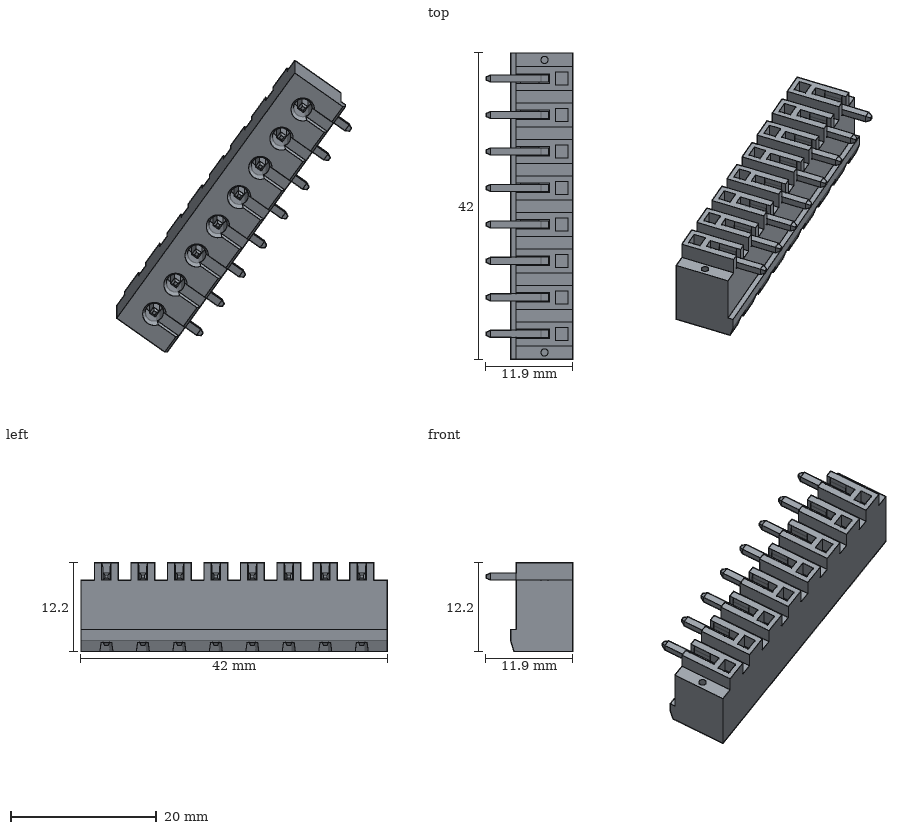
import cadquery as cq


way_count = 8
pitch = 5.0
length = 42.0
depth = 7.8
height = 12.2
deck_z = 9.8
first_way_y = (length - (way_count - 1) * pitch) / 2

foot_reach = 0.75
foot_top_z = 3.05
foot_bevel_z = 1.5
foot_bevel_reach = 0.45

block_width = 3.3

pocket_x_size = 1.7
pocket_y_size = 1.8
pocket_wall = 0.7
pocket_depth = height - deck_z

pin_size = 1.0
pin_reach = 4.1
pin_tip_size = 0.45
pin_tip_length = 0.6
pin_bend_radius = 1.05
pin_back_x = 4.45
pin_end_z = 0.82
pin_axis_x = pin_back_x - pin_size / 2
pin_axis_z = deck_z + pin_size / 2

slot_width = 1.3
slot_clearance = 0.1
slot_end_x = pin_back_x + slot_clearance

ridge_start_x = 0.6
ridge_end_x = 3.15
ridge_drop = 0.6
ridge_height = (slot_width - pin_size) / 2

socket_diameter = 2.5
socket_depth = 8.0
socket_mouth_diameter = 3.2
notch_height = 1.27
notch_bottom_width = 1.8
notch_top_width = 1.45

end_hole_diameter = 0.99
end_hole_depth = 2.0
end_hole_inset = 0.95


def box(x_start, x_end, y_center, y_size, z_start, z_end):
    """Box given by its X and Z limits and centred in Y."""
    return cq.Workplane("XY").box(
        x_end - x_start, y_size, z_end - z_start, centered=(False, True, False)
    ).translate((x_start, y_center, z_start))


def make_bar():
    """Housing up to the deck, with the bevelled foot rail."""
    return (
        cq.Workplane("XZ")
        .moveTo(foot_bevel_reach - foot_reach, 0)
        .lineTo(depth, 0)
        .lineTo(depth, deck_z)
        .lineTo(0, deck_z)
        .lineTo(0, foot_top_z)
        .lineTo(-foot_reach, foot_top_z)
        .lineTo(-foot_reach, foot_bevel_z)
        .close()
        .extrude(-length)
    )


def make_slot_ridges(y):
    """Ridges facing each other across the slot, each with a sloped lead-in at the top."""
    ridges = cq.Workplane("YZ")
    for side in (-1, 1):
        wall_y = y + side * slot_width / 2
        ridges = ridges.polyline([
            (wall_y, height),
            (wall_y - side * ridge_height, height - ridge_drop),
            (wall_y - side * ridge_height, deck_z),
            (wall_y, deck_z),
        ]).close()
    return ridges.extrude(ridge_end_x - ridge_start_x).translate((ridge_start_x, 0, 0))


def make_block(y):
    """Raised block with its pin slot, snap ridges and square pocket."""
    block = box(0, depth, y, block_width, deck_z, height)
    slot = box(0, slot_end_x, y, slot_width, deck_z, height)
    pocket_end_x = depth - pocket_wall
    pocket = box(
        pocket_end_x - pocket_x_size, pocket_end_x, y, pocket_y_size,
        height - pocket_depth, height,
    )
    return block.cut(slot).cut(pocket).union(make_slot_ridges(y))


def make_socket(y):
    """Round socket volume with a conical mouth and the tapered notch that opens it to the -X side."""
    bore = (
        cq.Workplane("XY")
        .center(pin_axis_x, y)
        .circle(socket_diameter / 2)
        .extrude(socket_depth)
    )
    notch = (
        cq.Workplane("YZ", origin=(-foot_reach, y, 0))
        .moveTo(-notch_bottom_width / 2, 0)
        .lineTo(notch_bottom_width / 2, 0)
        .lineTo(notch_top_width / 2, notch_height)
        .lineTo(-notch_top_width / 2, notch_height)
        .close()
        .extrude(foot_reach + pin_axis_x)
    )
    mouth = (
        cq.Workplane("XY", origin=(pin_axis_x, y, 0))
        .circle(socket_mouth_diameter / 2)
        .workplane(offset=notch_height)
        .circle(socket_diameter / 2)
        .loft(ruled=True)
    )
    return bore.union(mouth).union(notch)


def make_pin_tip(plane):
    """Square taper from the pin section down to the tip."""
    return (
        cq.Workplane(plane)
        .rect(pin_size, pin_size)
        .workplane(offset=pin_tip_length)
        .rect(pin_tip_size, pin_tip_size)
        .loft(ruled=True)
    )


def make_pin(y):
    """Right-angle square pin with a tapered tip at both ends."""
    tail_x = pin_tip_length - pin_reach
    lower_z = pin_end_z + pin_tip_length
    tail = box(tail_x, pin_back_x, y, pin_size, deck_z, deck_z + pin_size)
    leg = box(pin_back_x - pin_size, pin_back_x, y, pin_size, lower_z, deck_z + pin_size)
    bent = tail.union(leg).edges("|Y and >X and >Z").fillet(pin_bend_radius)
    tail_tip = make_pin_tip(cq.Plane((tail_x, y, pin_axis_z), (0, 1, 0), (-1, 0, 0)))
    leg_tip = make_pin_tip(cq.Plane((pin_axis_x, y, lower_z), (1, 0, 0), (0, 0, -1)))
    return bent.union(tail_tip).union(leg_tip)


def make_end_hole(y):
    """Volume of one blind hole in the deck."""
    return (
        cq.Workplane("XY", origin=(depth / 2, y, deck_z))
        .circle(end_hole_diameter / 2)
        .extrude(-end_hole_depth)
    )


result = make_bar()
for way in range(way_count):
    way_y = first_way_y + way * pitch
    result = result.union(make_block(way_y)).cut(make_socket(way_y)).union(make_pin(way_y))
for hole_y in (end_hole_inset, length - end_hole_inset):
    result = result.cut(make_end_hole(hole_y))